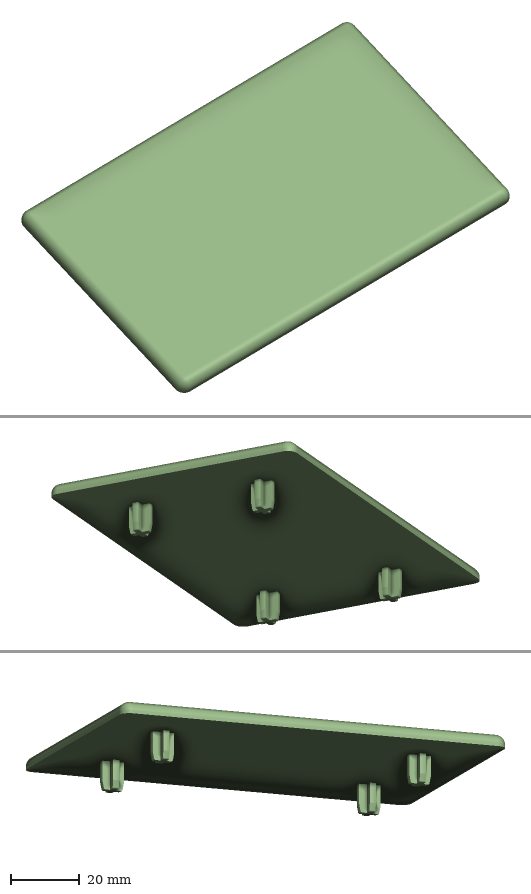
import cadquery as cq

plate_length = 120.0
plate_width = plate_length * 2 / 3
plate_thickness = 4.0
edge_radius = 3.0

peg_height = 8.5
peg_diameter = 7.0
peg_rib_thickness = 1.9
peg_inset = plate_length / 6
tip_height = 2.5
tip_inset = 0.5
tip_rounding = 0.5


def make_plate():
    """Flat plate with round corners and a fully rounded upper rim."""
    plate = cq.Workplane("XY").box(
        plate_width, plate_length, plate_thickness, centered=(True, True, False)
    )
    return plate.edges("|Z or >Z").fillet(edge_radius)


def make_peg():
    """Cross of two ribs, trimmed to a round envelope with a tapered, rounded tip."""
    size = (peg_diameter, peg_rib_thickness, peg_height)
    rib = cq.Workplane("XY").box(*size, centered=(True, True, False))
    rib = rib.translate((0, 0, -peg_height))
    cross = rib.union(rib.rotate((0, 0, 0), (0, 0, 1), 90))

    peg_radius = peg_diameter / 2
    envelope = (
        cq.Workplane("XZ")
        .moveTo(0, 0)
        .lineTo(peg_radius, 0)
        .lineTo(peg_radius, tip_height - peg_height)
        .lineTo(peg_radius - tip_inset, -peg_height)
        .lineTo(0, -peg_height)
        .close()
        .revolve(360, (0, 0), (0, 1))
    )
    envelope = envelope.faces("<Z").edges().fillet(tip_rounding)
    return cross.intersect(envelope)


result = make_plate()
peg = make_peg()
peg_x = plate_width / 2 - peg_inset
peg_y = plate_length / 2 - peg_inset
for x in (-peg_x, peg_x):
    for y in (-peg_y, peg_y):
        result = result.union(peg.translate((x, y, 0)))